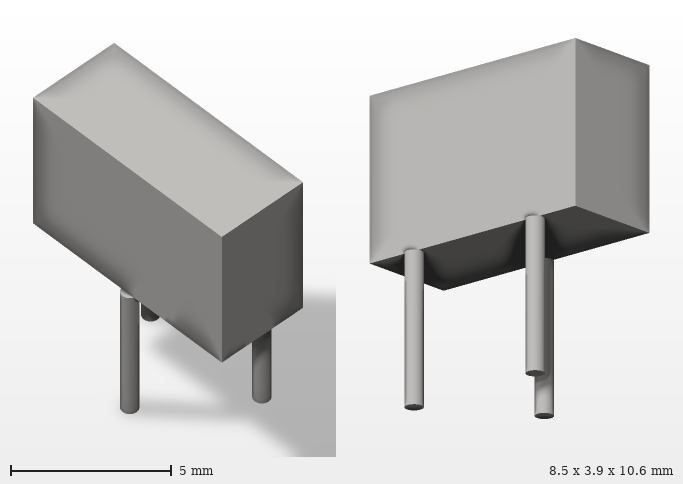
import cadquery as cq

housing_length = 8.5
housing_depth = 3.5
housing_height = 5.51

total_height = 10.6
pin_length = total_height - housing_height
pin_diameter = 0.6
pin_pitch = 2.5
pin_envelope_depth = 3.9
row_offset = (pin_envelope_depth - pin_diameter) / 2

pin_centers = [
    (-pin_pitch, row_offset),
    (0, -row_offset),
    (pin_pitch, row_offset),
]


def make_housing():
    """Block with its underside at Z = 0."""
    return cq.Workplane("XY").box(
        housing_length, housing_depth, housing_height, centered=(True, True, False)
    )


def make_pin(x, y):
    """Straight round pin whose flat top touches the plane of the underside."""
    return cq.Workplane("XY").center(x, y).circle(pin_diameter / 2).extrude(-pin_length)


housing = make_housing()
pins = [make_pin(x, y) for x, y in pin_centers]

result = cq.Compound.makeCompound([housing.val(), *[pin.val() for pin in pins]])